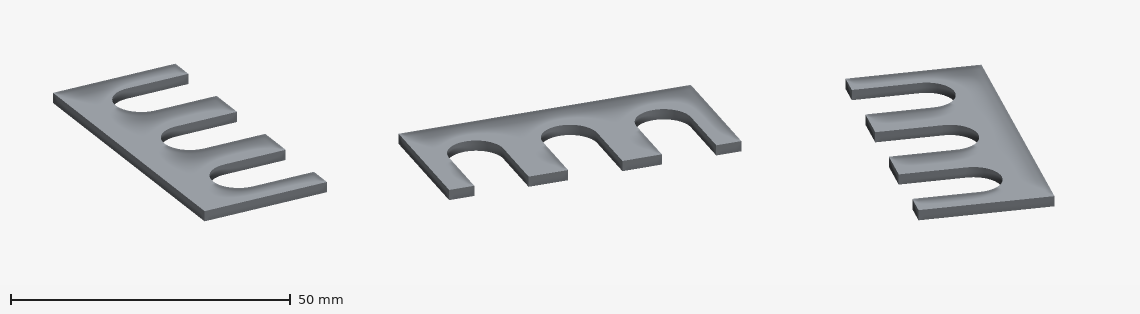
import cadquery as cq

plate_length = 56.0
plate_depth = 25.0
plate_thickness = 2.0

slot_count = 3
slot_pitch = 18.0
slot_width = 10.4
slot_radius = slot_width / 2
slot_center_y = 0.0
back_edge_y = plate_depth / 2


def open_slot(center_x):
    """Cutter with a round front end and straight sides running out the back edge."""
    left_x = center_x - slot_radius
    right_x = center_x + slot_radius
    return (
        cq.Workplane("XY")
        .moveTo(left_x, back_edge_y)
        .lineTo(left_x, slot_center_y)
        .threePointArc((center_x, slot_center_y - slot_radius), (right_x, slot_center_y))
        .lineTo(right_x, back_edge_y)
        .close()
        .extrude(plate_thickness)
    )


result = cq.Workplane("XY").box(
    plate_length, plate_depth, plate_thickness, centered=(True, True, False)
)
for index in range(slot_count):
    slot_x = (index - (slot_count - 1) / 2) * slot_pitch
    result = result.cut(open_slot(slot_x))